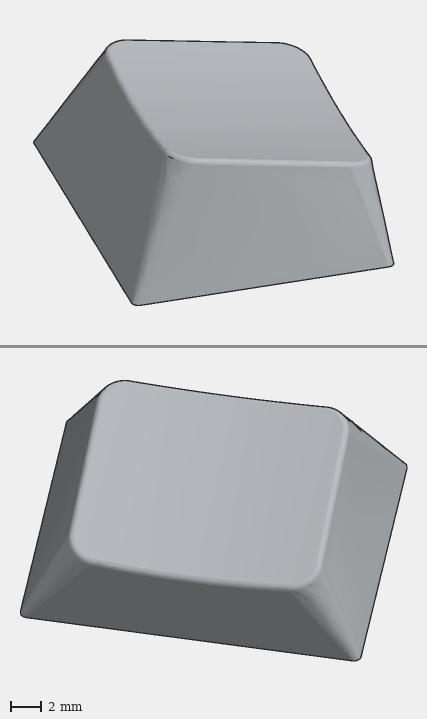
import cadquery as cq
import math

base_width = 22.85
base_depth = 18.1
base_corner_radius = 0.5

top_width = 16.73
top_front_y = -5.23
top_back_y = 8.75
top_front_z = 8.87
top_tilt = 11.0
top_corner_radius = 2.01

dish_radius = 59.44
dish_end_margin = 4.57
rim_fillet = 0.4

tilt = math.radians(top_tilt)
top_run = top_back_y - top_front_y
top_depth = top_run / math.cos(tilt)
top_center = (
    0,
    (top_front_y + top_back_y) / 2,
    top_front_z - top_run * math.tan(tilt) / 2,
)
top_plane = cq.Plane(
    origin=top_center,
    xDir=(1, 0, 0),
    normal=(0, math.sin(tilt), math.cos(tilt)),
)


def rounded_outline(plane, width, depth, radius):
    """Closed rectangle wire with round corners, centred on the plane."""
    outline = cq.Workplane(plane).rect(width, depth).val()
    return outline.fillet2D(radius, outline.Vertices())


def make_body():
    """Straight-ruled walls from the base outline to the tilted top outline."""
    base = rounded_outline(cq.Plane.XY(), base_width, base_depth, base_corner_radius)
    top = rounded_outline(top_plane, top_width, top_depth, top_corner_radius)
    return cq.Workplane(cq.Solid.makeLoft([base, top], True))


def make_dish():
    """Cylinder parallel to the tilted top, meeting it at the side edges."""
    axis_height = math.sqrt(dish_radius**2 - (top_width / 2) ** 2)
    length = top_depth + 2 * dish_end_margin
    start = top_plane.toWorldCoords((0, -length / 2, axis_height))
    return cq.Solid.makeCylinder(dish_radius, length, start, top_plane.yDir)


dished_body = make_body().cut(cq.Workplane(make_dish()))
result = dished_body.faces(">Z").edges().fillet(rim_fillet)